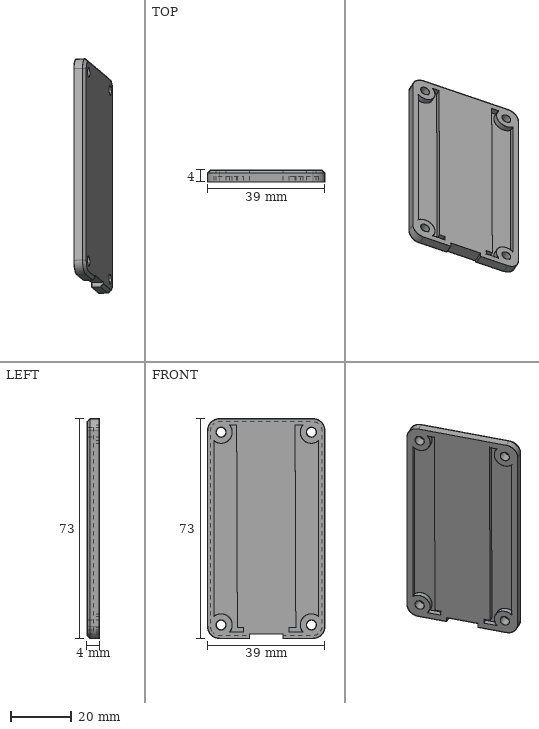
import cadquery as cq

width = 39.0
height = 73.0
thickness = 4.0
corner_radius = 4.0
back_chamfer = 1.0

hole_diameter = 3.2
hole_inset = 4.5
pad_radius = 3.7

pocket_depth = 1.9
wall_thickness = 2.1
rib_half_width = 9.7
rib_lean = 0.12

foot_height = 1.5
foot_half_span = 7.6

notch_width = 11.0
notch_height = 1.5

half_width = width / 2
half_height = height / 2
hole_x = half_width - hole_inset
hole_z = half_height - hole_inset
hole_centres = [(sx * hole_x, sz * hole_z) for sx in (-1, 1) for sz in (-1, 1)]


def block(x_min, x_max, z_min, z_max, depth):
    """Box over the given X and Z range, reaching from the front face to a depth."""
    return cq.Workplane("XY").box(
        x_max - x_min, depth, z_max - z_min, centered=False
    ).translate((x_min, 0, z_min))


def cylinders(diameter, depth):
    """Cylinders on the four hole centres, reaching from the front face to a depth."""
    return cq.Workplane("XZ").pushPoints(hole_centres).circle(diameter / 2).extrude(-depth)


def make_plate():
    """Rounded plate with a chamfer around its back face."""
    plate = block(-half_width, half_width, -half_height, half_height, thickness)
    plate = plate.edges("|Y").fillet(corner_radius)
    return plate.faces(">Y").edges().chamfer(back_chamfer)


def make_pocket(side):
    """L-shaped pocket on one side of the rib: side is -1 for -X and 1 for +X."""
    outer_x = side * (half_width - wall_thickness)
    foot_x = side * foot_half_span
    rib_x = side * rib_half_width
    top_z = half_height - wall_thickness
    bottom_z = -top_z
    foot_top_z = bottom_z + foot_height
    outline = [
        (outer_x, bottom_z),
        (foot_x, bottom_z),
        (foot_x, foot_top_z),
        (rib_x + rib_lean, foot_top_z),
        (rib_x - rib_lean, top_z),
        (outer_x, top_z),
    ]
    return cq.Workplane("XZ").polyline(outline).close().extrude(-pocket_depth)


def make_pockets():
    """Both pockets, with the round pads left standing in their corners."""
    pockets = make_pocket(-1).union(make_pocket(1))
    return pockets.cut(cylinders(2 * pad_radius, pocket_depth))


def make_notch():
    """Notch through the full thickness, centred on the bottom edge."""
    half_notch = notch_width / 2
    return block(-half_notch, half_notch, -half_height, -half_height + notch_height, thickness)


result = (
    make_plate()
    .cut(make_pockets())
    .cut(cylinders(hole_diameter, thickness))
    .cut(make_notch())
)